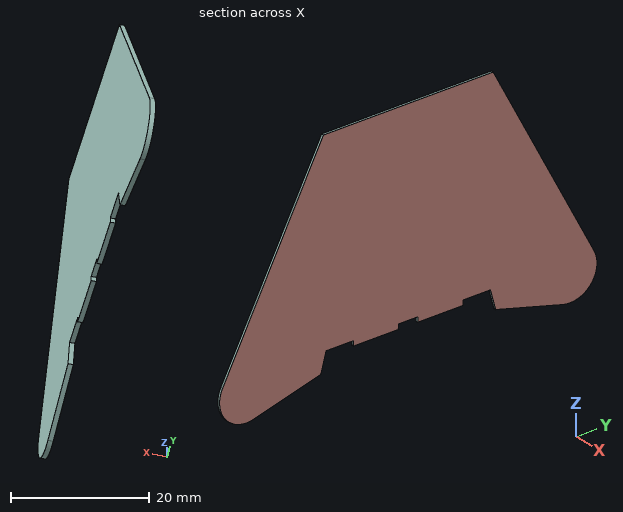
import cadquery as cq
import math

thickness = 0.8
width = 69.0
height = 43.0
top_half_width = 15.5

foot_radius = 5.0
foot_y = width / 2 - foot_radius
foot_z = foot_radius
foot_tilt = math.radians(15)

recess_z = 7.05
recess_half_width = 15.0
tab_depth = 0.9
tab_inner_y = 1.7
tab_outer_y = 10.0


def foot_point(angle):
    """Point on the +Y foot circle, with the angle measured from +Y toward +Z."""
    return (foot_y + foot_radius * math.cos(angle), foot_z + foot_radius * math.sin(angle))


def mirrored(point):
    return (-point[0], point[1])


top_corner = (top_half_width, height)
corner_dy = top_half_width - foot_y
corner_dz = height - foot_z
corner_angle = math.atan2(corner_dz, corner_dy)
side_angle = corner_angle - math.acos(foot_radius / math.hypot(corner_dy, corner_dz))

underside_angle = -math.pi / 2 - foot_tilt
side_tangent = foot_point(side_angle)
foot_middle = foot_point((side_angle + underside_angle) / 2)
underside_tangent = foot_point(underside_angle)

recess_corner = (recess_half_width, recess_z)
offset_y = recess_half_width - underside_tangent[0]
offset_z = recess_z - underside_tangent[1]
wall_drop = offset_y * math.sin(foot_tilt) + offset_z * math.cos(foot_tilt)
wall_length = wall_drop / math.cos(2 * foot_tilt)
toe = (
    recess_half_width + wall_length * math.sin(foot_tilt),
    recess_z - wall_length * math.cos(foot_tilt),
)

plate = (
    cq.Workplane("YZ")
    .moveTo(*top_corner)
    .lineTo(*side_tangent)
    .threePointArc(foot_middle, underside_tangent)
    .lineTo(*toe)
    .lineTo(*recess_corner)
    .lineTo(*mirrored(recess_corner))
    .lineTo(*mirrored(toe))
    .lineTo(*mirrored(underside_tangent))
    .threePointArc(mirrored(foot_middle), mirrored(side_tangent))
    .lineTo(*mirrored(top_corner))
    .close()
    .extrude(thickness / 2, both=True)
)

tab_y = (tab_inner_y + tab_outer_y) / 2
tabs = (
    cq.Workplane("YZ")
    .pushPoints([(-tab_y, recess_z), (tab_y, recess_z)])
    .rect(tab_outer_y - tab_inner_y, 2 * tab_depth)
    .extrude(thickness / 2, both=True)
)

result = plate.union(tabs).clean()